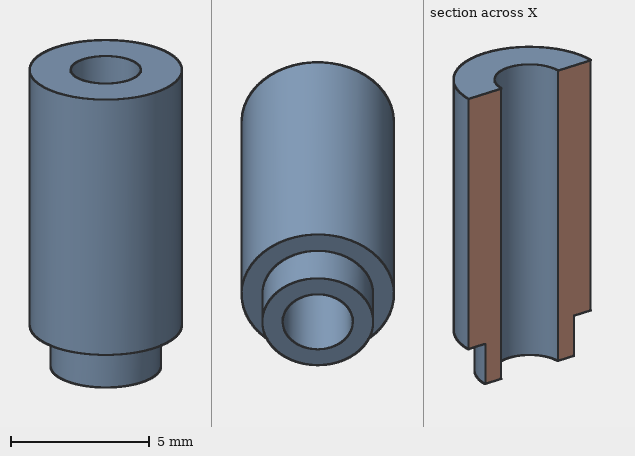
import cadquery as cq

body_diameter = 5.5
body_length = 10.0
spigot_diameter = 4.0
spigot_length = 1.6
bore_diameter = 2.53

total_length = spigot_length + body_length


def cylinder(diameter, length, base_z):
    """Upright cylinder on the Z axis, starting at base_z."""
    return cq.Workplane("XY").workplane(offset=base_z).circle(diameter / 2).extrude(length)


spigot = cylinder(spigot_diameter, spigot_length, 0)
body = cylinder(body_diameter, body_length, spigot_length)

bore = cylinder(bore_diameter, total_length, 0)

result = spigot.union(body).cut(bore)